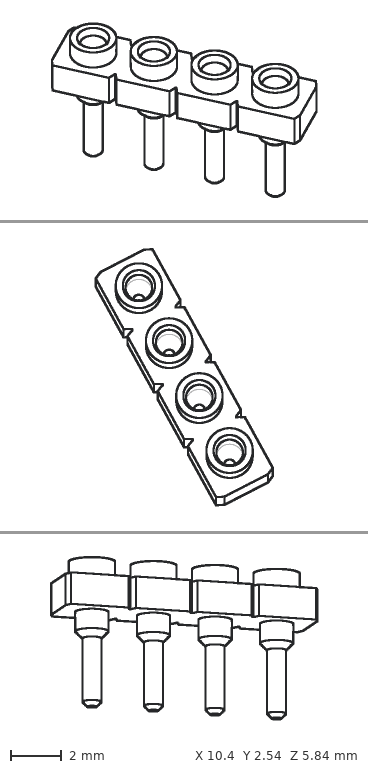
import cadquery as cq

pin_count = 4
pitch = 2.54

strip_length = 10.39
strip_width = 2.54
strip_height = 1.27
notch_depth = 0.30
notch_half_width = 0.16
notch_floor_half_width = 0.02
corner_bevel_length = notch_half_width - notch_floor_half_width

head_diameter = 1.83
head_height = 0.76
stem_diameter = 1.32
stem_drop = 0.78
tail_diameter = 0.76
pin_drop = 3.81
tip_chamfer = 0.19

mouth_diameter = 1.27
mouth_depth = 0.30
bore_diameter = 1.05
bore_depth = 1.0
throat_diameter = 0.44
throat_depth = 2.2
drill_point_depth = 0.13
drill_flat_diameter = 0.06

pin_positions = [((i - (pin_count - 1) / 2) * pitch, 0) for i in range(pin_count)]
notch_positions = [(i - pin_count / 2) * pitch for i in range(1, pin_count)]


def make_strip():
    """Bar with bevelled corners, narrow tapered notches between the cells and a hole for each pin."""
    half_length = strip_length / 2
    half_width = strip_width / 2
    notch_floor = half_width - notch_depth

    front_edge = [(-half_length, -notch_floor), (-half_length + corner_bevel_length, -half_width)]
    for x in notch_positions:
        front_edge += [
            (x - notch_half_width, -half_width),
            (x - notch_floor_half_width, -notch_floor),
            (x + notch_floor_half_width, -notch_floor),
            (x + notch_half_width, -half_width),
        ]
    front_edge += [(half_length - corner_bevel_length, -half_width), (half_length, -notch_floor)]
    back_edge = [(x, -y) for x, y in reversed(front_edge)]

    bar = cq.Workplane("XY").polyline(front_edge + back_edge).close().extrude(strip_height)
    holes = cq.Workplane("XY").pushPoints(pin_positions).circle(stem_diameter / 2).extrude(strip_height)
    return bar.cut(holes)


def make_pin(x, y):
    """Turned pin: a head resting on the strip, a stem through it, a thin tail and a tapering bore."""
    top = strip_height + head_height
    head_radius = head_diameter / 2
    stem_radius = stem_diameter / 2
    tail_radius = tail_diameter / 2
    mouth_radius = mouth_diameter / 2
    bore_radius = bore_diameter / 2
    throat_radius = throat_diameter / 2
    shoulder_height = stem_radius - tail_radius

    half_section = [
        (0, -pin_drop),
        (tail_radius - tip_chamfer, -pin_drop),
        (tail_radius, -pin_drop + tip_chamfer),
        (tail_radius, -stem_drop - shoulder_height),
        (stem_radius, -stem_drop),
        (stem_radius, strip_height),
        (head_radius, strip_height),
        (head_radius, top),
        (mouth_radius, top),
        (bore_radius, top - mouth_depth),
        (bore_radius, top - bore_depth),
        (throat_radius, top - throat_depth),
        (drill_flat_diameter / 2, top - throat_depth - drill_point_depth),
        (0, top - throat_depth - drill_point_depth),
    ]
    pin = cq.Workplane("XZ").polyline(half_section).close().revolve(360, (0, 0, 0), (0, 1, 0))
    return pin.translate((x, y, 0))


strip = make_strip()
pins = [make_pin(x, y) for x, y in pin_positions]

result = cq.Compound.makeCompound([strip.val(), *[pin.val() for pin in pins]])